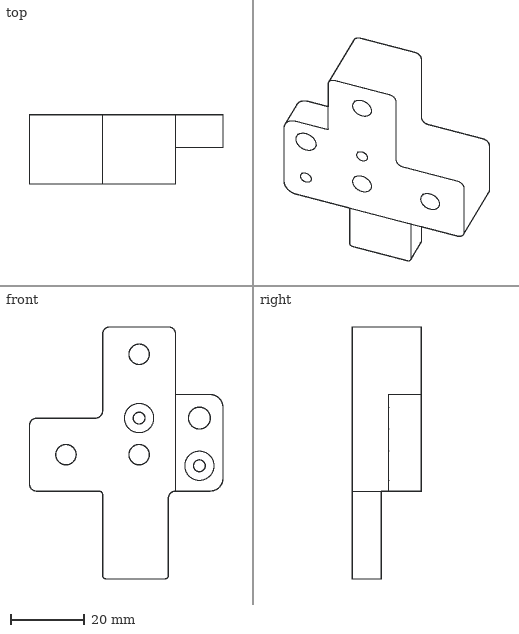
import cadquery as cq

height = 69.0
depth = 19.0
width = 53.0
column_left = 20.0
column_right = 40.0
arm_top = 44.0
arm_bottom = 24.0
corner_radius = 2.0

leg_right = 38.0
leg_depth = 8.0
leg_corner_radius = 1.0

tab_top = 50.5
tab_depth = 9.0
tab_radius = 3.6

column_center = (column_left + column_right) / 2
arm_center = (arm_bottom + arm_top) / 2
arm_hole_x = column_left / 2
top_hole_z = 61.5
plain_diameter = 5.5
body_screw_z = arm_top
tab_hole_x = 46.5
tab_hole_z = arm_top
tab_hole_diameter = 5.9
tab_screw_z = 31.0
screw_diameter = 3.2
head_diameter = 8.0
head_floor = 4.0


def block(x_min, x_max, y_min, y_max, z_min, z_max):
    """Box given by its limits along each axis."""
    size = (x_max - x_min, y_max - y_min, z_max - z_min)
    return cq.Workplane("XY").box(*size, centered=False).translate((x_min, y_min, z_min))


def cylinder(x, z, diameter, y_min, y_max):
    """Cylinder along Y between two depths."""
    plane = cq.Workplane("XZ", origin=(x, y_min, z))
    return plane.circle(diameter / 2).extrude(y_min - y_max)


def edge_at(x, z, y):
    """Selector for the Y-parallel edge with its midpoint at the given place."""
    return cq.selectors.NearestToPointSelector((x, y, z))


def round_edges(solid, corners, radius, y):
    """Round the Y-parallel edges at the given (x, z) corners."""
    for x, z in corners:
        solid = solid.edges("|Y").edges(edge_at(x, z, y)).fillet(radius)
    return solid


def make_body():
    column = block(column_left, column_right, 0, depth, arm_bottom, height)
    arm = block(0, column_left, 0, depth, arm_bottom, arm_top)
    corners = [
        (0, arm_bottom),
        (0, arm_top),
        (column_left, arm_top),
        (column_left, height),
        (column_right, height),
    ]
    return round_edges(column.union(arm), corners, corner_radius, depth / 2)


def make_leg():
    """Leg with rounded feet and a concave fillet on each side where it meets the body."""
    r = leg_corner_radius
    leg = block(column_left, leg_right, 0, leg_depth, 0, arm_bottom)
    leg = round_edges(leg, [(column_left, 0), (leg_right, 0)], r, leg_depth / 2)
    left_web = block(column_left - r, column_left, 0, leg_depth, arm_bottom - r, arm_bottom)
    left_web = left_web.cut(cylinder(column_left - r, arm_bottom - r, 2 * r, 0, leg_depth))
    web = column_right - leg_right
    right_web = block(leg_right, column_right, 0, leg_depth, arm_bottom - web, arm_bottom)
    right_web = right_web.cut(cylinder(column_right, arm_bottom - web, 2 * web, 0, leg_depth))
    return leg.union(left_web).union(right_web)


def make_tab():
    front = depth - tab_depth
    tab = block(column_right, width, front, depth, arm_bottom, tab_top)
    corners = [(width, arm_bottom), (width, tab_top)]
    return round_edges(tab, corners, tab_radius, (front + depth) / 2)


def screw_hole(x, z, front):
    """Through hole with a flat-bottomed head recess sunk from the given front face."""
    shank = cylinder(x, z, screw_diameter, front, depth)
    return shank.union(cylinder(x, z, head_diameter, front, depth - head_floor))


result = make_body().union(make_leg()).union(make_tab())

plain_holes = [
    (column_center, top_hole_z, plain_diameter),
    (column_center, arm_center, plain_diameter),
    (arm_hole_x, arm_center, plain_diameter),
    (tab_hole_x, tab_hole_z, tab_hole_diameter),
]
for x, z, diameter in plain_holes:
    result = result.cut(cylinder(x, z, diameter, 0, depth))

result = result.cut(screw_hole(column_center, body_screw_z, 0))
result = result.cut(screw_hole(tab_hole_x, tab_screw_z, depth - tab_depth))